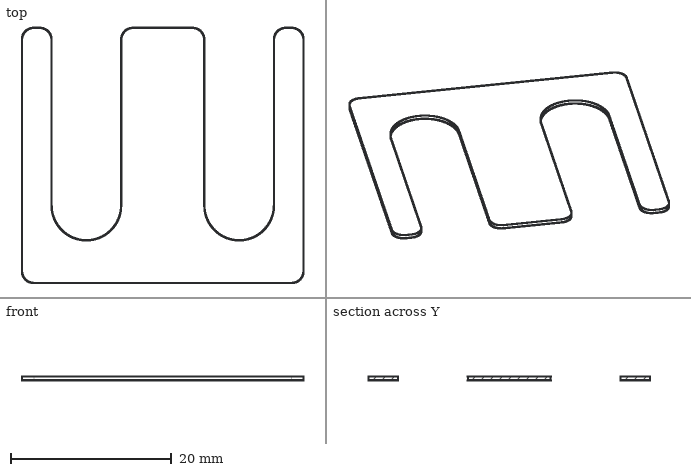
import cadquery as cq

width = 35.05
depth = 31.75
thickness = 0.5
corner_radius = 1.5

slot_width = 8.62
slot_spacing = 19.0
slot_floor = 5.33

slot_radius = slot_width / 2
slot_center_y = -depth / 2 + slot_floor + slot_radius


def slot_cutter(center_x):
    """Slot with a round inner end, open at the back edge."""
    left = center_x - slot_radius
    right = center_x + slot_radius
    return (
        cq.Workplane("XY")
        .moveTo(left, depth / 2)
        .lineTo(left, slot_center_y)
        .threePointArc((center_x, slot_center_y - slot_radius), (right, slot_center_y))
        .lineTo(right, depth / 2)
        .close()
        .extrude(thickness)
    )


plate = cq.Workplane("XY").rect(width, depth).extrude(thickness)
for side in (-1, 1):
    plate = plate.cut(slot_cutter(side * slot_spacing / 2))

corner_edges = plate.faces("<Y or >Y").edges("|Z")
result = corner_edges.fillet(corner_radius)